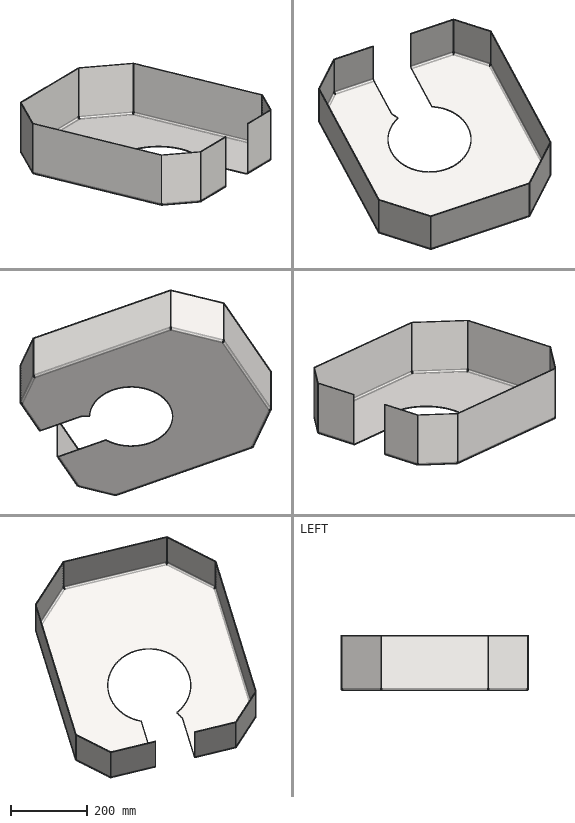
import cadquery as cq
import math

length = 580.0
width = 490.0
height = 144.0
sheet = 2.0
bend_radius = 6.0
left_corner_cut = 104.5
right_corner_cut = 75.0
wall_gap = 0.5

hole_radius = 108.5
hole_x = 50.0
slot_bottom = -48.0
slot_top = 58.0

half_x = length / 2
half_y = width / 2
corners = [
    (-half_x, half_y - left_corner_cut),
    (-half_x, -half_y + left_corner_cut),
    (-half_x + left_corner_cut, -half_y),
    (half_x - right_corner_cut, -half_y),
    (half_x, -half_y + right_corner_cut),
    (half_x, half_y - right_corner_cut),
    (half_x - right_corner_cut, half_y),
    (-half_x + left_corner_cut, half_y),
]
turn_angle = 360 / len(corners)
first_bisector = 180 - turn_angle / 2


def octagon_block(inset):
    """Octagonal block with a rounded floor edge, inset from the outer skin."""
    outline = cq.Workplane("XY").workplane(offset=inset).polyline(corners).close()
    if inset > 0:
        outline = outline.offset2D(-inset)
    block = outline.extrude(height - inset)
    return block.faces("<Z").edges().fillet(bend_radius - inset)


def corner_gap():
    """Gap for a corner at the origin that points along +X.

    Each bend ends square to its bend line, which leaves a wedge below the slit between the walls.
    """
    half_turn = math.radians(turn_angle / 2)
    bend_start = -bend_radius / math.cos(half_turn)
    wedge_end = bend_start + bend_radius
    wedge_half_width = bend_radius * math.tan(half_turn)
    wedge = (
        cq.Workplane("XY")
        .moveTo(bend_start, 0)
        .lineTo(wedge_end, -wedge_half_width)
        .lineTo(wedge_end, wedge_half_width)
        .close()
        .extrude(bend_radius)
    )
    slit = cq.Workplane("XY").box(-2 * bend_start, wall_gap, height, centered=(True, True, False))
    return wedge.union(slit)


def floor_hole():
    """Round opening through the floor."""
    return cq.Workplane("XY").center(hole_x, 0).circle(hole_radius).extrude(height)


def entry_slot():
    """Slot from the hole out through the +X wall, with a radial lead-in on its upper side."""
    mouth_x = math.sqrt(hole_radius**2 - slot_bottom**2)
    lead_in_end = slot_top * mouth_x / -slot_bottom
    exit_x = half_x - hole_x
    return (
        cq.Workplane("XY")
        .center(hole_x, 0)
        .moveTo(0, 0)
        .lineTo(0, slot_bottom)
        .lineTo(exit_x, slot_bottom)
        .lineTo(exit_x, slot_top)
        .lineTo(lead_in_end, slot_top)
        .close()
        .extrude(height)
    )


result = octagon_block(0).cut(octagon_block(sheet))
for index, (corner_x, corner_y) in enumerate(corners):
    bisector = first_bisector + index * turn_angle
    gap = corner_gap().rotate((0, 0, 0), (0, 0, 1), bisector)
    result = result.cut(gap.translate((corner_x, corner_y, 0)))
result = result.cut(floor_hole()).cut(entry_slot())